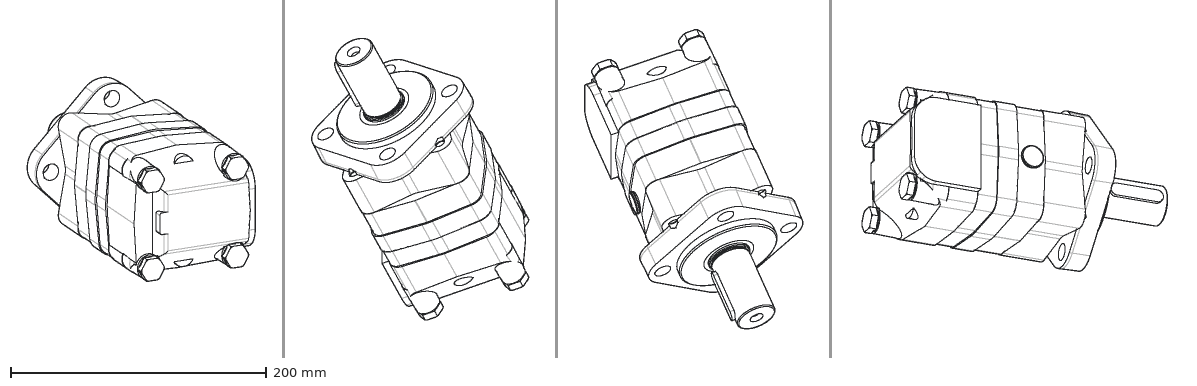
import cadquery as cq
import math


SHAFT_TIP_X = -66.0
COLLAR_X = -8.5
PILOT_X = -6.3
FLANGE_DRAFT_END_X = 15.5
FLANGE_BACK_X = 18.0
WAIST_END_X = 53.5
HOUSING_END_X = 77.0
RING_END_X = 94.0
PLATE_END_X = 110.1
COVER_SLOPE_X = 135.0
SIDE_STEP_X = 159.0
BOSS_END_X = 161.8
PAD_END_X = 167.0
COVER_END_X = 168.0
BOLT_END_X = 168.8

BOLT_OFFSET = 36.6
BOLT_CENTRES = [(y * BOLT_OFFSET, z * BOLT_OFFSET) for y in (-1, 1) for z in (-1, 1)]
BOLT_DIAMETER = 10.0
BOLT_TIP_X = 20.5
CLEARANCE_DIAMETER = 10.5
TAP_DRILL_DIAMETER = 8.5
TAP_DRILL_END_X = 15.5
TAP_DRILL_CONE = 2.5
HEAD_FLATS = 18.0
HEAD_CHAMFER = 0.7
WASHER_FACE_DIAMETER = 17.0
WASHER_FACE_HEIGHT = 1.2

SHAFT_DIAMETER = 32.0
SHAFT_CHAMFER = 1.0
GROOVE_DIAMETER = 30.5
GROOVE_WIDTH = 1.5
COLLAR_DIAMETER = 34.8
COLLAR_CHAMFER = 0.7
JOURNAL_DIAMETER = 42.0
CENTRE_HOLE_DIAMETER = 6.5
CENTRE_HOLE_DEPTH = 18.8
COUNTERSINK_DIAMETER = 10.8
KEY_WIDTH = 10.0
KEY_LENGTH = 44.8
KEY_START_X = -60.8
KEY_BOTTOM_Y = 10.5
KEY_TOP_Y = 18.5

PILOT_DIAMETER = 82.6
PILOT_CHAMFER = 1.2
FLANGE_WIDTH = 131.3
FLANGE_CORNER_RADIUS = 21.1
FLANGE_DRAFT = 2.0
FLANGE_HOLE_OFFSET = 53.0
FLANGE_HOLE_DIAMETER = 13.5
PLUG_DIAMETER = 18.5
PLUG_NECK_DIAMETER = 17.0
PLUG_NECK_Y = 50.0
PLUG_TOP_Y = 52.5
PLUG_CHAMFER = 0.7

WAIST_SECTION = (10.0, -10.5, 3.3)
REAR_HOUSING_SECTION = (9.6, 5.2, 0.2)
RING_SECTION = (11.0, 5.5, 4.5)
PLATE_SECTION = (10.0, 4.8, 4.5)

COVER_RIDGE_Z = 51.0
COVER_SHOULDER = (36.2, 48.5)
COVER_RIDGE_Y = 48.4
COVER_SIDE_EDGE_Z = 32.9
SIDE_WALL_TOP_Z = 34.5
BOSS_DIAMETER = 21.0
BOSS_CREASE_ANGLE = 50.0
BOSS_BASE_RADIUS = 10.8
BOSS_TIP_RADIUS = 10.0
SPOTFACE_DIAMETER = 22.0
COVER_END_HALF_WIDTH = 25.0
COVER_END_FILLET = 3.5
COVER_SLOPE = (COVER_RIDGE_Z - COVER_END_HALF_WIDTH) / (COVER_END_X - COVER_SLOPE_X)
PAD_Y = 53.3
PAD_INNER_Y = 28.2
PAD_HALF_WIDTH = 35.7
PAD_CORNER_RADIUS = 18.8
DOME_DIAMETER = 18.0
DOME_TOP_Z = 45.8
DOME_END_X = 148.2
RIB_Y = 30.3
RIB_FILLET = 1.9

TRIM = 94.0


def section_plane(x):
    """Workplane across the shaft axis at x: local x is Y, local y is Z."""
    return cq.Workplane("YZ", origin=(x, 0, 0))


def cylinder(x_start, x_end, diameter):
    return section_plane(x_start).circle(diameter / 2).extrude(x_end - x_start)


def bolt_cylinders(x_start, x_end, diameter):
    """Four parallel cylinders on the bolt axes."""
    return section_plane(x_start).pushPoints(BOLT_CENTRES).circle(diameter / 2).extrude(x_end - x_start)


def lobed_prism(x_start, x_end, section):
    """Square prism with round corners about the bolts and sides bent outward (or inward) at the middle."""
    corner_radius, tilt_degrees, ridge_half_width = section
    tilt = math.radians(tilt_degrees)
    ridge = (BOLT_OFFSET * (math.sin(tilt) + math.cos(tilt)) + corner_radius) / math.cos(tilt)
    ridge_edge = ridge - ridge_half_width * math.tan(tilt)
    ridge_top = ridge_edge + ridge_half_width * math.tan(tilt / 2)
    tangent = (BOLT_OFFSET + corner_radius * math.sin(tilt), BOLT_OFFSET + corner_radius * math.cos(tilt))
    corner_mid = BOLT_OFFSET + corner_radius * math.sqrt(0.5)

    def turned(point, quarter):
        y, z = point
        for _ in range(quarter):
            y, z = z, -y
        return y, z

    outline = section_plane(x_start).moveTo(-ridge_half_width, ridge_edge)
    for quarter in range(4):
        outline = (
            outline
            .threePointArc(turned((0, ridge_top), quarter), turned((ridge_half_width, ridge_edge), quarter))
            .lineTo(*turned(tangent, quarter))
            .threePointArc(turned((corner_mid, corner_mid), quarter), turned(tangent[::-1], quarter))
            .lineTo(*turned((ridge_edge, ridge_half_width), quarter))
        )
    return outline.close().extrude(x_end - x_start)


def make_key():
    """Round-ended key standing out of the shaft on the +Y side."""
    return (
        cq.Workplane("XZ", origin=(KEY_START_X + KEY_LENGTH / 2, KEY_BOTTOM_Y, 0))
        .slot2D(KEY_LENGTH, KEY_WIDTH)
        .extrude(KEY_BOTTOM_Y - KEY_TOP_Y)
    )


def make_shaft(key):
    shaft = cylinder(SHAFT_TIP_X, PILOT_X, SHAFT_DIAMETER).faces("<X").chamfer(SHAFT_CHAMFER)
    groove = cylinder(COLLAR_X - GROOVE_WIDTH, COLLAR_X, COLLAR_DIAMETER).cut(
        cylinder(COLLAR_X - GROOVE_WIDTH, COLLAR_X, GROOVE_DIAMETER)
    )
    collar = cylinder(COLLAR_X, PILOT_X, COLLAR_DIAMETER).faces("<X").chamfer(COLLAR_CHAMFER)
    journal = cylinder(PILOT_X, FLANGE_BACK_X, JOURNAL_DIAMETER)
    shaft = shaft.cut(groove).union(collar).union(journal)
    hole_radius = CENTRE_HOLE_DIAMETER / 2
    rim_radius = COUNTERSINK_DIAMETER / 2
    countersink_depth = (rim_radius - hole_radius) / math.tan(math.radians(30))
    centre_hole = (
        cq.Workplane("XY")
        .moveTo(SHAFT_TIP_X, 0)
        .lineTo(SHAFT_TIP_X, rim_radius)
        .lineTo(SHAFT_TIP_X + countersink_depth, hole_radius)
        .lineTo(SHAFT_TIP_X + CENTRE_HOLE_DEPTH, hole_radius)
        .lineTo(SHAFT_TIP_X + CENTRE_HOLE_DEPTH + hole_radius, 0)
        .close()
        .revolve(360, (0, 0, 0), (1, 0, 0))
    )
    return shaft.cut(centre_hole).cut(key)


def make_flange():
    """Diamond flange: a straight rim at the back, drafted toward the front."""
    across_flats = 2 * (
        (FLANGE_WIDTH / 2 - FLANGE_CORNER_RADIUS) * math.sqrt(0.5) + FLANGE_CORNER_RADIUS
    )
    diamond = (
        cq.Sketch().rect(across_flats, across_flats).vertices().fillet(FLANGE_CORNER_RADIUS).reset()
    )
    placed = diamond.moved(cq.Location(cq.Vector(0, 0, 0), cq.Vector(0, 0, 1), 45))
    rim_plane = section_plane(FLANGE_DRAFT_END_X)
    rim = rim_plane.placeSketch(placed).extrude(FLANGE_BACK_X - FLANGE_DRAFT_END_X)
    drafted = rim_plane.placeSketch(placed).extrude(-FLANGE_DRAFT_END_X, taper=FLANGE_DRAFT)
    holes = (
        section_plane(0)
        .polarArray(FLANGE_HOLE_OFFSET, 0, 360, 4)
        .circle(FLANGE_HOLE_DIAMETER / 2)
        .extrude(FLANGE_BACK_X)
    )
    return rim.union(drafted).cut(holes)


def make_drain_boss():
    """Round plug-shaped boss on the +Y side, with a narrower neck."""
    centre_x = (WAIST_END_X + HOUSING_END_X) / 2
    neck_base_y = BOLT_OFFSET
    neck = (
        cq.Workplane("XZ", origin=(centre_x, neck_base_y, 0))
        .circle(PLUG_NECK_DIAMETER / 2)
        .extrude(neck_base_y - PLUG_NECK_Y)
    )
    head = (
        cq.Workplane("XZ", origin=(centre_x, PLUG_NECK_Y, 0))
        .circle(PLUG_DIAMETER / 2)
        .extrude(PLUG_NECK_Y - PLUG_TOP_Y)
        .edges()
        .chamfer(PLUG_CHAMFER)
    )
    return neck.union(head)


def make_tapped_holes():
    """Threaded bores filled by the bolts, then tap drill runs with conical ends."""
    threads = bolt_cylinders(BOLT_TIP_X, HOUSING_END_X, BOLT_DIAMETER)
    drill = (
        cq.Workplane("XY")
        .moveTo(TAP_DRILL_END_X - TAP_DRILL_CONE, 0)
        .lineTo(TAP_DRILL_END_X, TAP_DRILL_DIAMETER / 2)
        .lineTo(BOLT_TIP_X, TAP_DRILL_DIAMETER / 2)
        .lineTo(BOLT_TIP_X, 0)
        .close()
        .revolve(360, (0, 0, 0), (1, 0, 0))
    )
    for y, z in BOLT_CENTRES:
        threads = threads.union(drill.translate((0, y, z)))
    return threads


def make_housing():
    pilot = cylinder(PILOT_X, 0, PILOT_DIAMETER).faces("<X").chamfer(PILOT_CHAMFER)
    bore = cylinder(PILOT_X, FLANGE_BACK_X, JOURNAL_DIAMETER)
    return (
        make_flange()
        .union(pilot)
        .union(lobed_prism(FLANGE_BACK_X, WAIST_END_X, WAIST_SECTION))
        .union(lobed_prism(WAIST_END_X, HOUSING_END_X, REAR_HOUSING_SECTION))
        .union(make_drain_boss())
        .cut(bore)
        .cut(make_tapped_holes())
    )


def make_middle_plate(x_start, x_end, section):
    return lobed_prism(x_start, x_end, section).cut(bolt_cylinders(x_start, x_end, CLEARANCE_DIAMETER))


def make_cover_core():
    """Ridged block; each corner is rounded in two stages, the outer one concentric with the bolt."""
    boss_radius = BOSS_DIAMETER / 2

    def on_boss(angle):
        return BOLT_OFFSET + boss_radius * math.cos(angle), BOLT_OFFSET + boss_radius * math.sin(angle)

    crease_angle = math.radians(BOSS_CREASE_ANGLE)
    side_angle = math.asin((COVER_SIDE_EDGE_Z - BOLT_OFFSET) / boss_radius)
    quadrant = (
        section_plane(PLATE_END_X)
        .lineTo(0, COVER_RIDGE_Z)
        .lineTo(*COVER_SHOULDER)
        .tangentArcPoint(on_boss(crease_angle), relative=False)
        .threePointArc(on_boss((crease_angle + side_angle) / 2), on_boss(side_angle))
        .lineTo(COVER_RIDGE_Y, 0)
        .close()
        .extrude(COVER_END_X - PLATE_END_X)
    )
    upper = quadrant.union(quadrant.mirror("XZ"))
    return upper.union(upper.mirror("XY"))


def make_top_slope_cut():
    """Wedge that slopes the top down toward the rear end."""
    return (
        cq.Workplane("XZ", origin=(0, TRIM, 0))
        .moveTo(COVER_SLOPE_X, COVER_RIDGE_Z)
        .lineTo(COVER_END_X, COVER_END_HALF_WIDTH)
        .lineTo(COVER_END_X, TRIM)
        .lineTo(COVER_SLOPE_X, TRIM)
        .close()
        .extrude(2 * TRIM)
    )


def make_side_step_cut():
    """Step and slope on the -Y side behind the side face."""
    step_y = COVER_END_HALF_WIDTH + COVER_SLOPE * (COVER_END_X - SIDE_STEP_X)
    return (
        cq.Workplane("XY", origin=(0, 0, -TRIM))
        .moveTo(SIDE_STEP_X, -step_y)
        .lineTo(COVER_END_X, -COVER_END_HALF_WIDTH)
        .lineTo(COVER_END_X, -TRIM)
        .lineTo(SIDE_STEP_X, -TRIM)
        .close()
        .extrude(2 * TRIM)
    )


def make_bolt_bosses():
    """Straight bosses up to the slope, then slightly tapered to the bolt heads."""
    boss = (
        cq.Workplane("XY")
        .moveTo(PLATE_END_X, 0)
        .lineTo(PLATE_END_X, BOSS_DIAMETER / 2)
        .lineTo(COVER_SLOPE_X, BOSS_DIAMETER / 2)
        .lineTo(COVER_SLOPE_X, BOSS_BASE_RADIUS)
        .lineTo(BOSS_END_X, BOSS_TIP_RADIUS)
        .lineTo(BOSS_END_X, 0)
        .close()
        .revolve(360, (0, 0, 0), (1, 0, 0))
    )
    return [boss.translate((0, y, z)) for y, z in BOLT_CENTRES]


def make_port_pad():
    """Flat port face on the +Y side with rounded rear corners."""
    length = PAD_END_X - PLATE_END_X
    return (
        cq.Workplane("XY")
        .box(length, PAD_Y - PAD_INNER_Y, 2 * PAD_HALF_WIDTH, centered=(False, False, True))
        .translate((PLATE_END_X, PAD_INNER_Y, 0))
        .edges("|Y and >X")
        .fillet(PAD_CORNER_RADIUS)
    )


def make_side_rib():
    """Rounded rib across the slope at the middle of the -Y side."""
    return (
        cq.Workplane("XY")
        .box(COVER_END_X - SIDE_STEP_X, RIB_Y, DOME_DIAMETER, centered=(False, False, True))
        .translate((SIDE_STEP_X, -RIB_Y, 0))
        .edges("|X and <Y")
        .fillet(RIB_FILLET)
    )


def make_side_walls(core):
    """Parts of the core beside the slopes that keep the side faces whole up to the bolt bosses."""
    length = SIDE_STEP_X - COVER_SLOPE_X
    middle = (COVER_SLOPE_X + SIDE_STEP_X) / 2
    zone = cq.Workplane("XY", origin=(middle, 0, 0)).box(length, 2 * TRIM, 2 * SIDE_WALL_TOP_Z)
    inner = cq.Workplane("XY", origin=(middle, 0, 0)).box(length, 2 * BOLT_OFFSET, 2 * SIDE_WALL_TOP_Z)
    return core.intersect(zone.cut(inner))


def make_cover():
    top_cut = make_top_slope_cut()
    dome_axis_z = DOME_TOP_Z - DOME_DIAMETER / 2
    dome = cylinder(COVER_SLOPE_X, DOME_END_X, DOME_DIAMETER).translate((0, 0, dome_axis_z))
    core = make_cover_core()
    cover = core.cut(make_side_step_cut()).cut(top_cut).cut(top_cut.mirror("XY"))
    cover = cover.faces(">X").edges("|Y or <Y").fillet(COVER_END_FILLET)
    ends = make_port_pad().union(make_side_rib()).cut(top_cut).cut(top_cut.mirror("XY"))
    cover = cover.union(ends).union(make_side_walls(core))
    cover = cover.union(dome).union(dome.mirror("XY"))
    for boss in make_bolt_bosses():
        cover = cover.union(boss)
    cover = cover.cut(bolt_cylinders(BOSS_END_X, BOLT_END_X, SPOTFACE_DIAMETER))
    return cover.cut(bolt_cylinders(PLATE_END_X, BOSS_END_X, CLEARANCE_DIAMETER))


def make_bolt(y, z):
    """Hexagon head bolt with two head corners pointing along Y."""
    head_start = BOSS_END_X + WASHER_FACE_HEIGHT
    head_corners = HEAD_FLATS / math.cos(math.radians(30))
    shank = cylinder(BOLT_TIP_X, BOSS_END_X, BOLT_DIAMETER)
    washer_face = cylinder(BOSS_END_X, head_start, WASHER_FACE_DIAMETER)
    head = section_plane(head_start).polygon(6, head_corners).extrude(BOLT_END_X - head_start)
    rounding = cylinder(head_start, BOLT_END_X, head_corners).faces(">X").chamfer(HEAD_CHAMFER)
    return shank.union(washer_face).union(head.intersect(rounding)).translate((0, y, z))


key = make_key()
shaft = make_shaft(key)
housing = make_housing()
gear_ring = make_middle_plate(HOUSING_END_X, RING_END_X, RING_SECTION)
channel_plate = make_middle_plate(RING_END_X, PLATE_END_X, PLATE_SECTION)
cover = make_cover()
bolts = [make_bolt(y, z) for y, z in BOLT_CENTRES]

result = cq.Compound.makeCompound(
    [shaft.val(), key.val(), housing.val(), gear_ring.val(), channel_plate.val(), cover.val()]
    + [bolt.val() for bolt in bolts]
)